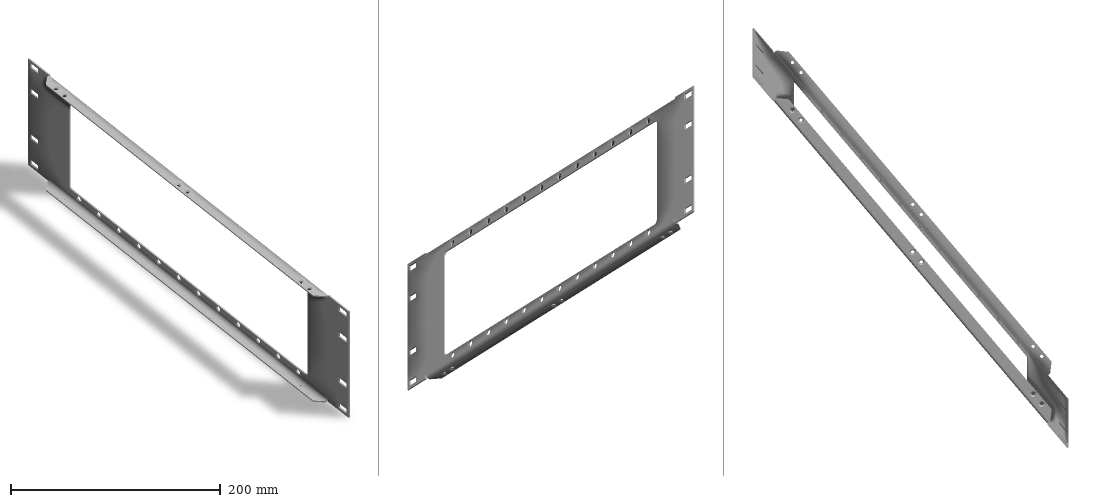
import cadquery as cq

panel_width = 482.5
panel_height = 132.5
depth = 12.5
thickness = 1.5

bend_outer_radius = 3.15
bend_inner_radius = bend_outer_radius - thickness
flange_length = 419.0
flange_corner_cut = 8.0

relief_width = 1.0
relief_depth = 4.0

window_width = 359.0
window_height = 109.0
window_corner_radius = 4.0

slot_width = 11.5
slot_height = 6.0
slot_x = 232.0
slot_z_positions = (28.5, 60.5)

row_hole_diameter = 6.0
row_hole_count = 12
row_hole_span = 330.0
row_hole_pitch = row_hole_span / (row_hole_count - 1)
row_hole_z = 59.0

flange_hole_diameter = 3.15
flange_sink_diameter = 6.0
flange_sink_angle = 90.0
flange_hole_spacing = 13.0
flange_pair_x_positions = (-184.5, 0.0, 184.5)
flange_hole_y = -8.5

half_height = panel_height / 2


def box(width, y_front, y_back, z_low, z_high):
    """Block centred on X = 0 between the given Y and Z limits."""
    return cq.Workplane("XY").box(width, y_back - y_front, z_high - z_low).translate(
        (0, (y_front + y_back) / 2, (z_low + z_high) / 2)
    )


def make_channel():
    """C-shaped sheet with rounded bends, as long as the flanges, with cut flange corners."""
    outer = box(flange_length, -depth, 0, -half_height, half_height)
    outer = outer.edges("|X and >Y").fillet(bend_outer_radius)
    inner_half_height = half_height - thickness
    inner = box(flange_length, -depth, -thickness, -inner_half_height, inner_half_height)
    inner = inner.edges("|X and >Y").fillet(bend_inner_radius)
    channel = outer.cut(inner)
    return channel.edges("|Z and <Y").chamfer(flange_corner_cut)


def make_end_plates():
    """Flat panel ends, full height, reaching beyond the flanges."""
    plate = box(panel_width, -thickness, 0, -half_height, half_height)
    return plate.cut(box(flange_length, -thickness, 0, -half_height, half_height))


def panel_cutter(sketch):
    """Extrude an XZ outline through the panel."""
    return sketch.extrude(thickness, both=True)


def make_window():
    window = panel_cutter(cq.Workplane("XZ").rect(window_width, window_height))
    return window.edges("|Y").fillet(window_corner_radius)


def make_slots():
    centres = [
        (side * slot_x, end * z)
        for side in (-1, 1)
        for end in (-1, 1)
        for z in slot_z_positions
    ]
    return panel_cutter(cq.Workplane("XZ").pushPoints(centres).rect(slot_width, slot_height))


def make_bend_reliefs():
    """Narrow notches in the panel edges, just outside the four bend ends."""
    relief_x = (flange_length + relief_width) / 2
    notches = cq.Workplane("XZ").rarray(2 * relief_x, panel_height, 2, 2)
    return panel_cutter(notches.rect(relief_width, 2 * relief_depth))


def make_row_holes():
    holes = cq.Workplane("XZ").rarray(row_hole_pitch, 2 * row_hole_z, row_hole_count, 2)
    return panel_cutter(holes.circle(row_hole_diameter / 2))


def drill_flange(body, outward):
    """Countersink the hole pairs from the outer face of the top (1) or bottom (-1) flange."""
    plane = cq.Plane(
        origin=(0, flange_hole_y, outward * half_height),
        xDir=(1, 0, 0),
        normal=(0, 0, outward),
    )
    centres = [
        (pair_x + side * flange_hole_spacing / 2, 0)
        for pair_x in flange_pair_x_positions
        for side in (-1, 1)
    ]
    return (
        body.copyWorkplane(cq.Workplane(plane))
        .pushPoints(centres)
        .cskHole(flange_hole_diameter, flange_sink_diameter, flange_sink_angle, depth=2 * thickness)
    )


result = make_channel().union(make_end_plates())
result = result.cut(make_window()).cut(make_slots()).cut(make_row_holes())
result = result.cut(make_bend_reliefs())
for flange_side in (1, -1):
    result = drill_flange(result, flange_side)